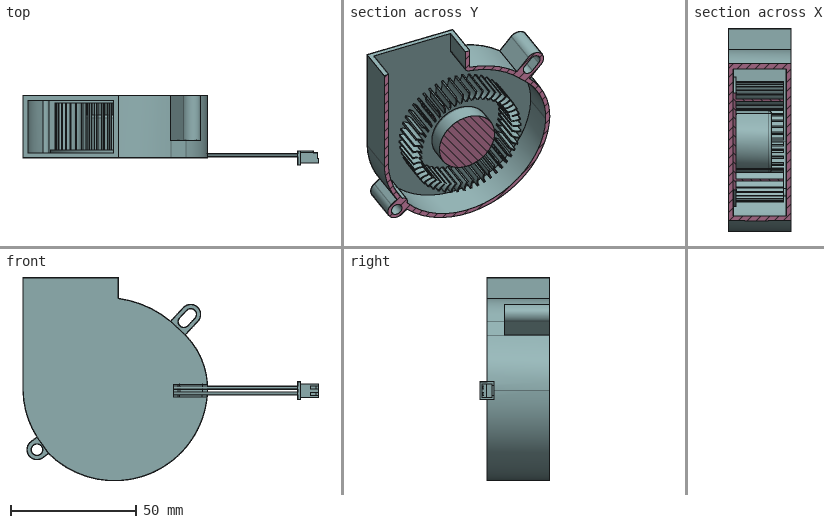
import cadquery as cq
import math


HOUSING_WIDTH = 73.6
HOUSING_DEPTH = 25.0
HOUSING_HEIGHT = 80.95
WALL = 2.0
AXIS_X = HOUSING_WIDTH / 2
AXIS_Z = 35.9
OUTLET_WIDTH = 38.0
SCROLL_TOP_Z = 72.7
RIGHT_ARC_MID = (70.5, 50.0)
TOP_ARC_MID = (49.5, 69.4)

ROUND_SEAT_UPPER = (5.7, 17.3)
ROUND_SEAT_LOWER = (10.3, 10.8)
SLOT_SEAT_UPPER = (58.95, 63.45)
SLOT_SEAT_LOWER = (65.0, 57.8)

EAR_FRONT = 7.0
EAR_DEPTH = HOUSING_DEPTH - EAR_FRONT
EAR_RADIUS = 4.0
EAR_HOLE_DIAMETER = 4.5
EAR_ROOT = 0.5
ROUND_EAR_CENTER = (5.6, 12.4)
ROUND_EAR_ANGLE = 37.0
ROUND_EAR_REACH = 3.1
SLOT_EAR_CENTER = (66.85, 66.3)
SLOT_EAR_ANGLE = 227.0
SLOT_EAR_REACH = 7.5
SLOT_TRAVEL = 4.0

RIB_RADIUS = 2.2
RIB_CENTER = (8.25, 15.0)

WIRE_DIAMETER = 1.3
WIRE_PITCH = 2.25
WIRE_Y = 1.13
WIRE_START_X = 60.0
CHANNEL_HEIGHT = 5.0
CHANNEL_DEPTH = WIRE_Y + WIRE_DIAMETER / 2
ENTRY_LENGTH = 1.8

DISC_DIAMETER = 51.6
DISC_THICKNESS = 1.1
HUB_DIAMETER = 24.67
HUB_TOP_Y = 17.2
HUB_FILLET = 1.2
BLADE_COUNT = 50
BLADE_OUTER_DIAMETER = 48.0
BLADE_LENGTH = 4
BLADE_THICKNESS = 0.7
BLADE_LEAN = -15
BLADE_BOW = 0.4
FIRST_BLADE_ANGLE = 94.7
BLADE_TOP_Y = 22.0

FLANGE_X = 109.5
FLANGE_THICKNESS = 1.2
FLANGE_HEIGHT = 7.2
FLANGE_FRONT = -2.81
FLANGE_BACK = 2.85
PLUG_HEIGHT = 5.5
PLUG_FRONT = -2.0
PLUG_BACK = 2.1
PLUG_END_X = 117.4
LIP_END_X = 117.81
LIP_BACK = -0.15
KEY_END_X = 115.7
KEY_HEIGHT = 4.0
CONTACT_PITCH = 2.5
SOCKET_HEIGHT = 1.7
SOCKET_FRONT = -1.35
SOCKET_DEPTH = 3.0
WINDOW_START_X = 114.6
WINDOW_STEP_X = 116.8
WINDOW_HEIGHT = 1.15
WINDOW_DEPTH = 1.0
WINDOW_TIP_DEPTH = 0.5


def plane_at(y):
    """XZ workplane at depth y; positive extrusion runs towards -Y."""
    return cq.Workplane("XZ", origin=(0, y, 0))


def block(x_range, y_range, z_center, height):
    """Box between two X and two Y limits, centred on z_center."""
    return cq.Workplane("XY").box(
        x_range[1] - x_range[0], y_range[1] - y_range[0], height, centered=False
    ).translate((x_range[0], y_range[0], z_center - height / 2))


def paired_heights(pitch):
    """Heights of two items spaced evenly about the axis height."""
    return [AXIS_Z - pitch / 2, AXIS_Z + pitch / 2]


def scroll_outline(y, round_seat):
    """Closed scroll and outlet outline, with or without the flat seat of the round ear."""
    radius = (AXIS_X**2 + AXIS_Z**2) / (2 * AXIS_Z)

    def bottom_point(degrees):
        turn = math.radians(degrees)
        return (AXIS_X + radius * math.cos(turn), radius + radius * math.sin(turn))

    outline = plane_at(y).moveTo(0, HOUSING_HEIGHT).lineTo(0, AXIS_Z)
    if round_seat:
        outline = outline.threePointArc(bottom_point(195), ROUND_SEAT_UPPER).lineTo(*ROUND_SEAT_LOWER)
    return (
        outline.threePointArc(bottom_point(270), (HOUSING_WIDTH, AXIS_Z))
        .threePointArc(RIGHT_ARC_MID, SLOT_SEAT_LOWER)
        .lineTo(*SLOT_SEAT_UPPER)
        .threePointArc(TOP_ARC_MID, (OUTLET_WIDTH, SCROLL_TOP_Z))
        .lineTo(OUTLET_WIDTH, HOUSING_HEIGHT)
        .close()
    )


def make_cavity():
    """Scroll interior, opened through the top of the outlet."""
    inner_depth = HOUSING_DEPTH - 2 * WALL
    cavity = scroll_outline(WALL, False).offset2D(-WALL).extrude(-inner_depth)
    mouth = block(
        (WALL, OUTLET_WIDTH - WALL), (WALL, HOUSING_DEPTH - WALL), HOUSING_HEIGHT - WALL, 2 * WALL
    )
    rib = plane_at(WALL).center(*RIB_CENTER).circle(RIB_RADIUS).extrude(-inner_depth)
    return cavity.union(mouth).cut(rib)


def make_ear(center, angle, reach, slot_travel):
    """Ear with a round outer end, running from center towards the scroll, and its hole."""
    length = reach + EAR_ROOT
    barrel = plane_at(EAR_FRONT).circle(EAR_RADIUS).extrude(-EAR_DEPTH)
    web = plane_at(EAR_FRONT).center(length / 2, 0).rect(length, 2 * EAR_RADIUS).extrude(-EAR_DEPTH)
    hole = plane_at(EAR_FRONT).circle(EAR_HOLE_DIAMETER / 2).extrude(-EAR_DEPTH)
    if slot_travel > 0:
        hole = (
            plane_at(EAR_FRONT)
            .center(slot_travel / 2, 0)
            .slot2D(slot_travel + EAR_HOLE_DIAMETER, EAR_HOLE_DIAMETER)
            .extrude(-EAR_DEPTH)
        )
    ear = barrel.union(web).cut(hole)
    return ear.rotate((0, 0, 0), (0, -1, 0), angle).translate((center[0], 0, center[1]))


def make_housing():
    """Hollow scroll with both ears, the wire channel and the wire entry."""
    housing = scroll_outline(0, True).extrude(-HOUSING_DEPTH).cut(make_cavity())
    housing = housing.union(make_ear(ROUND_EAR_CENTER, ROUND_EAR_ANGLE, ROUND_EAR_REACH, 0))
    housing = housing.union(make_ear(SLOT_EAR_CENTER, SLOT_EAR_ANGLE, SLOT_EAR_REACH, SLOT_TRAVEL))
    channel = block((WIRE_START_X, HOUSING_WIDTH + WALL), (0, CHANNEL_DEPTH), AXIS_Z, CHANNEL_HEIGHT)
    entry = block((WIRE_START_X, WIRE_START_X + ENTRY_LENGTH), (0, WALL), AXIS_Z, CHANNEL_HEIGHT)
    return housing.cut(channel).cut(entry)


def make_blade():
    """Curved blade standing on the disc, its tip on +X at the blade circle."""
    tip_radius = BLADE_OUTER_DIAMETER / 2
    root_radius = tip_radius - BLADE_LENGTH
    middle_radius = tip_radius - BLADE_LENGTH / 2
    root_offset = -BLADE_LENGTH * math.tan(math.radians(BLADE_LEAN))
    bow_offset = root_offset / 2 - BLADE_BOW
    half = BLADE_THICKNESS / 2
    return (
        plane_at(WALL)
        .moveTo(tip_radius, half)
        .threePointArc((middle_radius, bow_offset + half), (root_radius, root_offset + half))
        .lineTo(root_radius, root_offset - half)
        .threePointArc((middle_radius, bow_offset - half), (tip_radius, -half))
        .close()
        .extrude(WALL - BLADE_TOP_Y)
    )


def make_impeller():
    """Backing disc on the front wall with a filleted hub and a ring of leaning blades."""
    disc = plane_at(WALL).circle(DISC_DIAMETER / 2).extrude(-DISC_THICKNESS)
    hub = plane_at(WALL).circle(HUB_DIAMETER / 2).extrude(WALL - HUB_TOP_Y)
    hub = hub.faces(">Y").edges().fillet(HUB_FILLET)
    impeller = disc.union(hub)
    blade = make_blade()
    for index in range(BLADE_COUNT):
        angle = FIRST_BLADE_ANGLE + index * 360 / BLADE_COUNT
        impeller = impeller.union(blade.rotate((0, 0, 0), (0, -1, 0), angle))
    return impeller.translate((AXIS_X, 0, AXIS_Z))


def make_wire(height):
    """Straight wire from the housing channel to the floor of its connector socket."""
    length = FLANGE_X + SOCKET_DEPTH - WIRE_START_X
    return (
        cq.Workplane("YZ", origin=(WIRE_START_X, WIRE_Y, height))
        .circle(WIRE_DIAMETER / 2)
        .extrude(length)
    )


def make_connector():
    """Flanged plug with a wire socket and a contact window for each wire."""
    flange_end = FLANGE_X + FLANGE_THICKNESS
    connector = block((FLANGE_X, flange_end), (FLANGE_FRONT, FLANGE_BACK), AXIS_Z, FLANGE_HEIGHT)
    plug = block((flange_end, PLUG_END_X), (PLUG_FRONT, PLUG_BACK), AXIS_Z, PLUG_HEIGHT)
    lip = block((PLUG_END_X, LIP_END_X), (PLUG_FRONT, LIP_BACK), AXIS_Z, PLUG_HEIGHT)
    key = block((flange_end, KEY_END_X), (PLUG_BACK, FLANGE_BACK), AXIS_Z, KEY_HEIGHT)
    connector = connector.union(plug).union(lip).union(key)
    for height in paired_heights(CONTACT_PITCH):
        socket = block(
            (FLANGE_X, FLANGE_X + SOCKET_DEPTH), (SOCKET_FRONT, CHANNEL_DEPTH), height, SOCKET_HEIGHT
        )
        window = block(
            (WINDOW_START_X, WINDOW_STEP_X), (PLUG_FRONT, PLUG_FRONT + WINDOW_DEPTH), height, WINDOW_HEIGHT
        )
        tip = block(
            (WINDOW_STEP_X, LIP_END_X), (PLUG_FRONT, PLUG_FRONT + WINDOW_TIP_DEPTH), height, WINDOW_HEIGHT
        )
        connector = connector.cut(socket).cut(window).cut(tip)
    return connector


housing = make_housing()
impeller = make_impeller()
wires = [make_wire(height) for height in paired_heights(WIRE_PITCH)]
connector = make_connector()

result = cq.Compound.makeCompound(
    [housing.val(), impeller.val(), *[wire.val() for wire in wires], connector.val()]
)